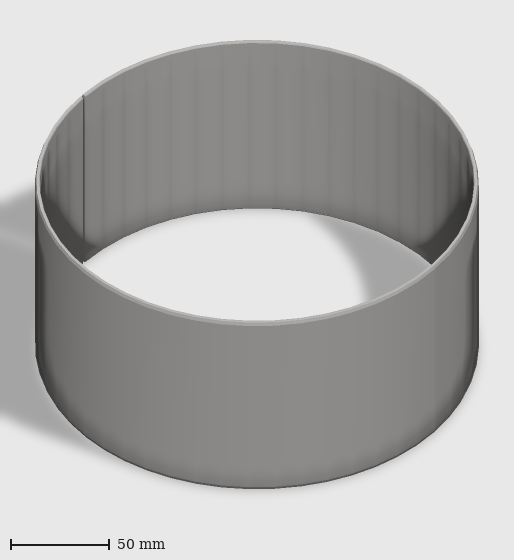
import cadquery as cq
import math

outer_diameter = 225.0
height = 110.0
wall = 2.5
outer_bevel_length = 1.8
outer_bevel_angle = 20.0
inner_bevel_length = 0.6
inner_bevel_angle = 30.0
slit_angle = 1.0

outer_radius = outer_diameter / 2
inner_radius = outer_radius - wall


def bevel_depth(length, angle):
    """Radial depth of a bevel given its axial length and its angle from the axis."""
    return length * math.tan(math.radians(angle))


def make_ring():
    """Thin sleeve about Z, bevelled outside and inside at both ends."""
    outer_end_radius = outer_radius - bevel_depth(outer_bevel_length, outer_bevel_angle)
    inner_end_radius = inner_radius + bevel_depth(inner_bevel_length, inner_bevel_angle)
    wall_section = (
        cq.Workplane("XZ")
        .moveTo(inner_end_radius, 0)
        .lineTo(outer_end_radius, 0)
        .lineTo(outer_radius, outer_bevel_length)
        .lineTo(outer_radius, height - outer_bevel_length)
        .lineTo(outer_end_radius, height)
        .lineTo(inner_end_radius, height)
        .lineTo(inner_radius, height - inner_bevel_length)
        .lineTo(inner_radius, inner_bevel_length)
        .close()
    )
    return wall_section.revolve(360, (0, 0, 0), (0, 1, 0))


def make_slit():
    """Full-height radial wedge opening from the -X axis toward +Y."""
    wedge_reach = outer_diameter
    wedge_rise = wedge_reach * math.tan(math.radians(slit_angle))
    return (
        cq.Workplane("XY")
        .moveTo(0, 0)
        .lineTo(-wedge_reach, 0)
        .lineTo(-wedge_reach, wedge_rise)
        .close()
        .extrude(height)
    )


result = make_ring().cut(make_slit())